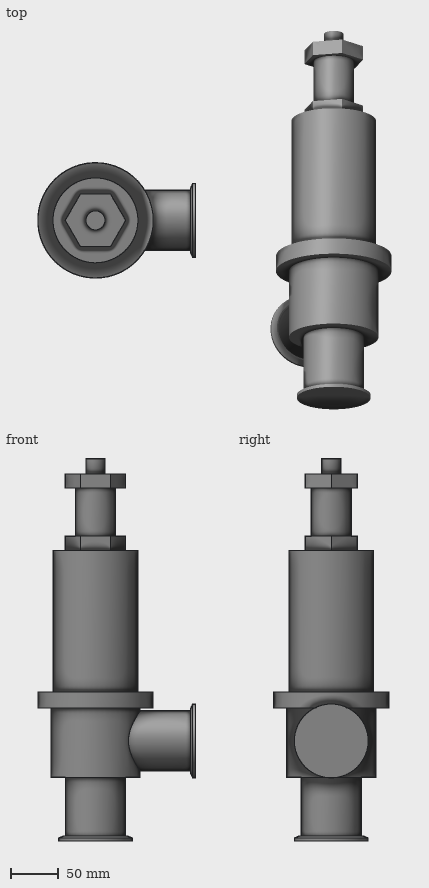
import cadquery as cq

body_bottom = 67.0
collar_bottom = 139.5
bonnet_bottom = 156.5
bonnet_top = 304.8
nut_height = 15.0
upper_nut_top = 385.0
spindle_top = 401.0

body_diameter = 94.0
collar_diameter = 121.0
bonnet_diameter = 89.0
sleeve_diameter = 42.0
spindle_diameter = 20.0
nut_across_corners = 63.5

pipe_diameter = 63.5
flange_diameter = 77.5
flange_neck_diameter = 66.5
flange_rim = 3.2
flange_taper = 2.5
outlet_height = 105.0
overall_x = 165.5
outlet_reach = overall_x - collar_diameter / 2


def cylinder(diameter, bottom, top):
    """Vertical cylinder on the valve axis."""
    return cq.Workplane("XY").workplane(offset=bottom).circle(diameter / 2).extrude(top - bottom)


def hex_nut(bottom):
    """Hexagonal nut with two corners on the X axis."""
    return cq.Workplane("XY").workplane(offset=bottom).polygon(6, nut_across_corners).extrude(nut_height)


def flanged_pipe(length):
    """Solid pipe along +Z with its tapered clamp flange at Z = 0."""
    return (
        cq.Workplane("XZ")
        .lineTo(flange_diameter / 2, 0)
        .lineTo(flange_diameter / 2, flange_rim)
        .lineTo(flange_neck_diameter / 2, flange_rim + flange_taper)
        .lineTo(pipe_diameter / 2, flange_rim + flange_taper)
        .lineTo(pipe_diameter / 2, length)
        .lineTo(0, length)
        .close()
        .revolve(360, (0, 0, 0), (0, 1, 0))
    )


valve = cylinder(body_diameter, body_bottom, collar_bottom)
valve = valve.union(cylinder(collar_diameter, collar_bottom, bonnet_bottom))
valve = valve.union(cylinder(bonnet_diameter, bonnet_bottom, bonnet_top))

valve = valve.union(cylinder(sleeve_diameter, bonnet_top, upper_nut_top))
for nut_bottom in (bonnet_top, upper_nut_top - nut_height):
    valve = valve.union(hex_nut(nut_bottom))
valve = valve.union(cylinder(spindle_diameter, upper_nut_top, spindle_top))

inlet = flanged_pipe(body_bottom)
outlet = (
    flanged_pipe(outlet_reach)
    .rotate((0, 0, 0), (0, 1, 0), -90)
    .translate((outlet_reach, 0, outlet_height))
)

result = valve.union(inlet).union(outlet)